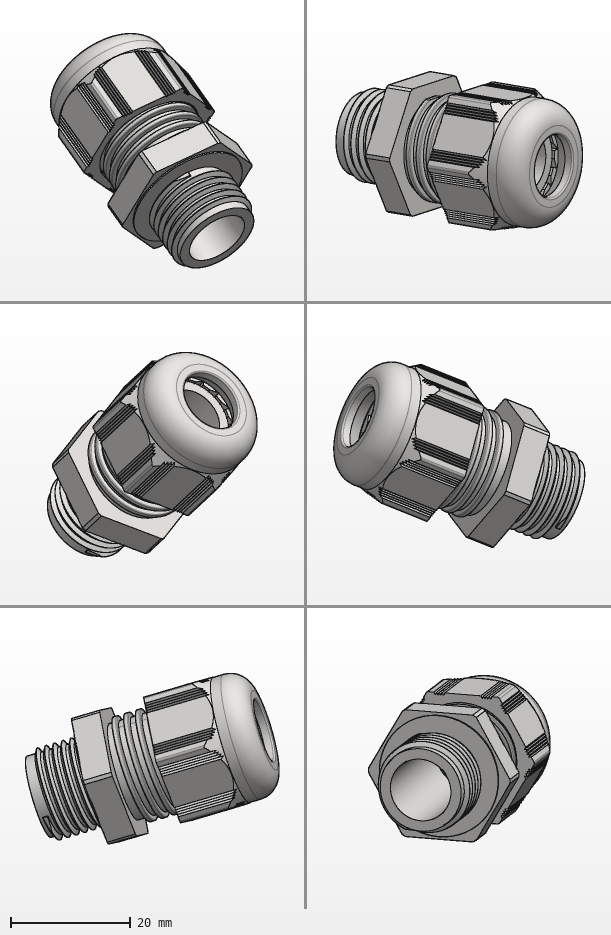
import cadquery as cq
import math


across_flats = 22.0
half_flats = across_flats / 2
corner_circle = across_flats / math.cos(math.radians(30))

nut_length = 17.1
dome_radius = 10.95
dome_round = 4.0
nut_hex_start = 5.85
nut_corner_cone_end = 8.55
nut_corner_cone_radius = 12.65
nut_corner_fillet = 0.5
entry_radius = 5.4
entry_round = 0.3
entry_cone_start = 1.6
entry_cone_end = 4.0
entry_cone_radius = 6.8
front_chamber_radius = 17.3 / 2
thread_chamber_start = 10.0
thread_chamber_radius = 19.1 / 2

groove_width = 0.5
grooves_per_group = 4
plain_half_width = 3.2
groove_depth = groove_width / 2 * math.tan(math.radians(60))

total_length = 40.0
sleeve_front = 4.8
sleeve_radius = 16.95 / 2
hex_start = 24.95
hex_length = 5.0
hex_corner_diameter = 25.0
flange_radius = 21.0 / 2
flange_end = 30.25
spigot_radius = 14.3 / 2
body_bore_radius = 10.7 / 2

tooth_count = 15
tooth_pitch = 360 / tooth_count
tooth_wall_angle = 6.0
tooth_ramp_span = 12.0
tooth_groove_radius = 7.8
tooth_groove_end = 8.8

thread_root_overlap = 0.1

nut_thread_radius = 9.35
nut_thread_pitch = 2.1
nut_thread_turns = 6
nut_thread_end = 24.0
nut_thread_base = 1.05
nut_thread_crest = 0.85
nut_thread_crest_round = 0.15
nut_thread_runout = 0.3

mount_thread_radius = 15.9 / 2
mount_thread_length = 8.25
mount_thread_turns = 5.5
mount_thread_pitch = mount_thread_length / mount_thread_turns
mount_thread_start = 30.7
mount_thread_base = 0.95
mount_thread_crest = 0.1
mount_thread_runout = 0.18

seal_start = 5.3
seal_length = 10.0
seal_end = seal_start + seal_length
seal_radius = 13.6 / 2
seal_bore_radius = 10.0 / 2


def revolve_about_x(profile):
    return profile.close().revolve(360, (0, 0, 0), (1, 0, 0))


def tube(start, end, outer, inner):
    return cq.Workplane("YZ", origin=(start, 0, 0)).circle(outer).circle(inner).extrude(end - start)


def hexagon(start, end):
    """Hexagonal bar with flats at +Z and -Z and corners at +Y and -Y."""
    return cq.Workplane("YZ", origin=(start, 0, 0)).polygon(6, corner_circle).extrude(end - start)


def grip_groove(offset):
    """V groove along X in the top flat, with its first edge at the given Y."""
    return (
        cq.Workplane("YZ", origin=(nut_hex_start, 0, 0))
        .moveTo(offset, half_flats)
        .lineTo(offset + groove_width, half_flats)
        .lineTo(offset + groove_width / 2, half_flats - groove_depth)
        .close()
        .extrude(nut_length - nut_hex_start)
    )


def make_nut():
    dome = revolve_about_x(
        cq.Workplane("XY")
        .moveTo(0, 0)
        .lineTo(0, dome_radius - dome_round)
        .radiusArc((dome_round, dome_radius), dome_round)
        .lineTo(nut_hex_start, dome_radius)
        .lineTo(nut_hex_start, 0)
    )
    grip = hexagon(nut_hex_start, nut_length).edges("|X").fillet(nut_corner_fillet)
    for face in range(6):
        for index in range(grooves_per_group):
            offset = plain_half_width + index * groove_width
            for first_edge in (offset, -offset - groove_width):
                grip = grip.cut(grip_groove(first_edge).rotate((0, 0, 0), (1, 0, 0), 60 * face))
    corner_cone = revolve_about_x(
        cq.Workplane("XY")
        .moveTo(nut_hex_start, 0)
        .lineTo(nut_hex_start, dome_radius)
        .lineTo(nut_corner_cone_end, nut_corner_cone_radius)
        .lineTo(nut_length, nut_corner_cone_radius)
        .lineTo(nut_length, 0)
    )
    cavity = revolve_about_x(
        cq.Workplane("XY")
        .moveTo(0, 0)
        .lineTo(0, entry_radius + entry_round)
        .radiusArc((entry_round, entry_radius), -entry_round)
        .lineTo(entry_cone_start, entry_radius)
        .lineTo(entry_cone_end, entry_cone_radius)
        .lineTo(entry_cone_end, front_chamber_radius)
        .lineTo(thread_chamber_start, front_chamber_radius)
        .lineTo(thread_chamber_start, thread_chamber_radius)
        .lineTo(nut_length, thread_chamber_radius)
        .lineTo(nut_length, 0)
    )
    return dome.union(grip.intersect(corner_cone)).cut(cavity)


def thread_ridge(start, pitch, turns, root, crest, base_width, crest_width, crest_round=0):
    """Right-handed helical ridge along X that starts at the +Z side."""
    inner = root - thread_root_overlap
    flank_slope = (base_width - crest_width) / 2 / (crest - root)
    inner_half_width = base_width / 2 + flank_slope * thread_root_overlap
    helix = cq.Wire.makeHelix(pitch, pitch * turns, inner)
    profile = cq.Sketch().polygon(
        [
            (inner, -inner_half_width),
            (crest, -crest_width / 2),
            (crest, crest_width / 2),
            (inner, inner_half_width),
            (inner, -inner_half_width),
        ]
    )
    if crest_round > 0:
        profile = profile.vertices(">X").fillet(crest_round)
    ridge = cq.Workplane("XZ").placeSketch(profile).sweep(cq.Workplane(helix), isFrenet=True)
    return ridge.rotate((0, 0, 0), (0, 1, 0), -90).rotate((0, 0, 0), (0, 0, 1), 180).translate((start, 0, 0))


def runout_flat(x_center, pitch, height, side):
    """Block that trims one thread end to a flat; side is +1 for +Z and -1 for -Z."""
    depth = across_flats / 2
    return cq.Workplane("XY").box(pitch, across_flats, depth).translate(
        (x_center, 0, side * (height + depth / 2))
    )


def make_nut_thread():
    start = nut_thread_end - nut_thread_pitch * nut_thread_turns
    ridge = thread_ridge(
        start, nut_thread_pitch, nut_thread_turns,
        sleeve_radius, nut_thread_radius, nut_thread_base, nut_thread_crest,
        nut_thread_crest_round,
    )
    flat_height = sleeve_radius + nut_thread_runout
    return ridge.cut(runout_flat(nut_thread_end, nut_thread_pitch, flat_height, 1))


def make_mount_thread():
    ridge = thread_ridge(
        mount_thread_start, mount_thread_pitch, mount_thread_turns,
        spigot_radius, mount_thread_radius, mount_thread_base, mount_thread_crest,
    )
    end = mount_thread_start + mount_thread_length
    flat_height = spigot_radius + mount_thread_runout
    ridge = ridge.cut(runout_flat(mount_thread_start, mount_thread_pitch, flat_height, 1))
    return ridge.cut(runout_flat(end, mount_thread_pitch, flat_height, -1))


def polar_point(radius, angle):
    """Y and Z of a point at an angle in degrees from +Y towards +Z."""
    return radius * math.cos(math.radians(angle)), radius * math.sin(math.radians(angle))


def tooth_groove():
    """Groove with one radial wall and a ramp back to the surface of the pocket."""
    return (
        cq.Workplane("YZ", origin=(sleeve_front, 0, 0))
        .polyline(
            [
                polar_point(seal_radius, tooth_wall_angle - tooth_ramp_span),
                polar_point(seal_radius, tooth_wall_angle),
                polar_point(tooth_groove_radius, tooth_wall_angle),
            ]
        )
        .close()
        .extrude(tooth_groove_end - sleeve_front)
    )


def make_body():
    sleeve = tube(sleeve_front, hex_start, sleeve_radius, body_bore_radius)
    hex_end = hex_start + hex_length
    corner_turning = tube(hex_start, hex_end, hex_corner_diameter / 2, body_bore_radius)
    collar = hexagon(hex_start, hex_end).intersect(corner_turning)
    flange = tube(hex_end, flange_end, flange_radius, body_bore_radius)
    spigot = tube(flange_end, total_length, spigot_radius, body_bore_radius)

    body = sleeve.union(make_nut_thread())
    body = body.union(collar).union(flange).union(spigot.union(make_mount_thread()))

    bore = cq.Workplane("YZ").circle(body_bore_radius).extrude(total_length)
    pocket = cq.Workplane("YZ").circle(seal_radius).extrude(seal_end)
    body = body.cut(bore).cut(pocket)

    groove = tooth_groove()
    for index in range(tooth_count):
        body = body.cut(groove.rotate((0, 0, 0), (1, 0, 0), index * tooth_pitch))
    return body


def make_seal():
    return tube(seal_start, seal_end, seal_radius, seal_bore_radius)


nut = make_nut()
body = make_body()
seal = make_seal()

result = cq.Compound.makeCompound([nut.solids().val(), body.solids().val(), seal.val()])